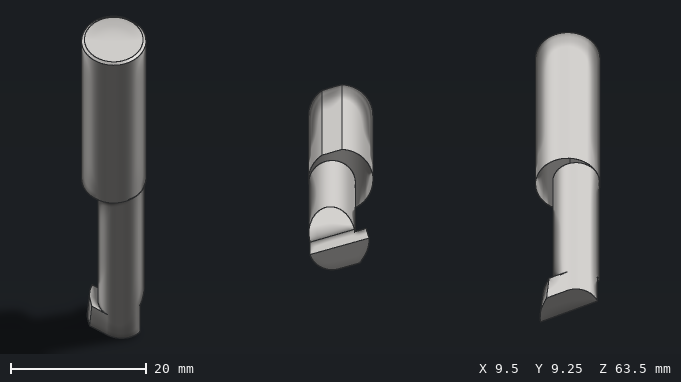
import cadquery as cq

total_length = 63.5
shank_radius = 4.75
shank_bottom = 31.95
shank_flat_y = 4.5
chamfer_width = 0.45
chamfer_height = 0.25

neck_radius = 3.4
neck_x = shank_radius - neck_radius
bevel_bottom = 6.3
bevel_top = bevel_bottom + neck_radius

head_top = 5.15
head_lean = 0.45
tip_x = -4.4
corner_x = -3.05
corner_y = -2.4
heel_x = -2.0
nose_sagitta = 0.2

end_slope_x = 0.035
end_slope_y = 0.09


def make_shank():
    """Round shank with a chamfered end and a shallow flat on its +Y side."""
    shank = (
        cq.Workplane("XZ")
        .moveTo(0, shank_bottom)
        .lineTo(shank_radius, shank_bottom)
        .lineTo(shank_radius, total_length - chamfer_height)
        .lineTo(shank_radius - chamfer_width, total_length)
        .lineTo(0, total_length)
        .close()
        .revolve(360, (0, 0), (0, 1))
    )
    beyond_flat = (
        cq.Workplane("XY", origin=(0, shank_radius, shank_bottom))
        .rect(2 * shank_radius, 2 * (shank_radius - shank_flat_y))
        .extrude(total_length - shank_bottom)
    )
    return shank.cut(beyond_flat)


def make_neck():
    """Offset round neck, cut back to its half section behind the rake face."""
    neck = cq.Workplane("XY").center(neck_x, 0).circle(neck_radius).extrude(shank_bottom)
    behind_rake = (
        cq.Workplane("YZ", origin=(neck_x, 0, 0))
        .polyline([(0, 0), (0, bevel_bottom), (neck_radius, bevel_top), (neck_radius, 0)])
        .close()
        .extrude(neck_radius, both=True)
    )
    return neck.cut(behind_rake)


def head_outline(plane, lean):
    """Head section on the given plane, with its cutting side moved by lean."""
    return (
        plane.moveTo(tip_x + lean, 0)
        .sagittaArc((corner_x + lean, corner_y), -nose_sagitta)
        .lineTo(heel_x + lean, -neck_radius)
        .lineTo(neck_x, -neck_radius)
        .lineTo(neck_x, 0)
        .close()
    )


def make_head():
    """Cutting head whose nose leans toward +X with height."""
    bottom = head_outline(cq.Workplane("XY"), 0)
    return head_outline(bottom.workplane(offset=head_top), head_lean).loft(ruled=True)


def make_end_relief():
    """Material below the sloped end face, which passes through the tip."""
    normal = (-end_slope_x, end_slope_y, 1)
    end_plane = cq.Plane(origin=(tip_x, 0, 0), xDir=(1, 0, end_slope_x), normal=normal)
    return cq.Workplane(end_plane).rect(4 * shank_radius, 4 * shank_radius).extrude(-shank_radius)


tool = make_shank().union(make_neck()).union(make_head())
result = tool.cut(make_end_relief())